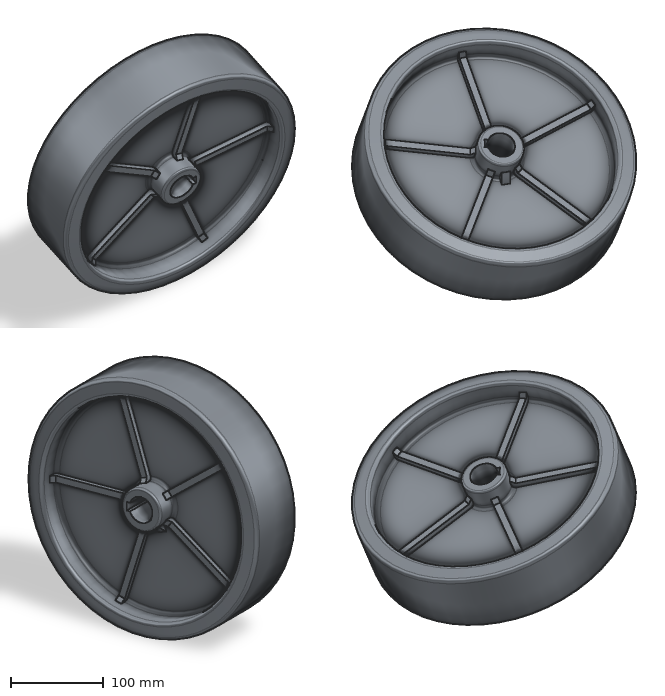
import cadquery as cq
import math

wheel_diameter = 300.0
wheel_width = 80.0
tread_edge_radius = 4.5

rim_inner_diameter = 258.0
rim_face_slope = 8.0
rim_lip_radius = 4.0
rim_root_radius = 4.8
web_thickness = 27.0

hub_diameter = 51.0
hub_edge_radius = 2.5
hub_root_radius = 4.5
bore_diameter = 30.0
keyway_width = 10.0
keyway_reach = 18.5

rib_count = 5
rib_width = 8.0
rib_height = 6.5
rib_bevel = 4.8

gusset_width = 10.0
gusset_length = 8.7
gusset_height = 11.0

overlap = 3.0

wheel_radius = wheel_diameter / 2
rim_inner_radius = rim_inner_diameter / 2
hub_radius = hub_diameter / 2
half_width = wheel_width / 2
half_web = web_thickness / 2
rib_pitch = 360 / rib_count
gusset_angle = 180 + rib_pitch


def rounded_outline(corners):
    """Closed wire in the XY plane through (x, y, radius) corners, each rounded by its radius."""
    outline = None
    for index, (x, y, radius) in enumerate(corners):
        corner = cq.Vector(x, y)
        before = corners[index - 1]
        after = corners[(index + 1) % len(corners)]
        to_before = (cq.Vector(before[0], before[1]) - corner).normalized()
        to_after = (cq.Vector(after[0], after[1]) - corner).normalized()
        half_angle = to_before.getAngle(to_after) / 2
        setback = radius / math.tan(half_angle)
        start = corner + to_before * setback
        if outline is None:
            outline = cq.Workplane("XY").moveTo(start.x, start.y)
        else:
            outline = outline.lineTo(start.x, start.y)
        if radius > 0:
            middle = corner + (to_before + to_after).normalized() * (radius / math.sin(half_angle) - radius)
            end = corner + to_after * setback
            outline = outline.threePointArc((middle.x, middle.y), (end.x, end.y))
    return outline.close()


def make_half_body():
    """Revolve the -X half of the wheel section about the X axis."""
    slope = math.radians(rim_face_slope)
    lip_corner = half_width + rim_lip_radius * (math.tan(slope) + 1 / math.cos(slope) - 1)
    tread_corner = lip_corner - (wheel_radius - rim_inner_radius) * math.tan(slope)
    section = [
        (0, 0, 0),
        (-half_width, 0, 0),
        (-half_width, hub_radius, hub_edge_radius),
        (-half_web, hub_radius, hub_root_radius),
        (-half_web, rim_inner_radius, rim_root_radius),
        (-lip_corner, rim_inner_radius, rim_lip_radius),
        (-tread_corner, wheel_radius, tread_edge_radius),
        (0, wheel_radius, 0),
    ]
    return rounded_outline(section).revolve(360, (0, 0, 0), (1, 0, 0))


def radial_plate(profile, width, angle):
    """Plate with an X-Y profile, centred on the +Y ray and then turned about the X axis."""
    plate = cq.Workplane("XY").polyline(profile).close().extrude(width / 2, both=True)
    return plate.rotate((0, 0, 0), (1, 0, 0), angle)


def make_rib(angle):
    """Rib from hub to rim whose top rises along a bevel at both ends."""
    top = half_web + rib_height
    end_top = top + rib_bevel
    profile = [
        (0, hub_radius - overlap),
        (-end_top, hub_radius - overlap),
        (-end_top, hub_radius),
        (-top, hub_radius + rib_bevel),
        (-top, rim_inner_radius - rib_bevel),
        (-end_top, rim_inner_radius),
        (-end_top, rim_inner_radius + overlap),
        (0, rim_inner_radius + overlap),
    ]
    return radial_plate(profile, rib_width, angle)


def make_gusset():
    """Triangular gusset between the hub and the web."""
    top = half_web + gusset_height
    profile = [
        (0, hub_radius - overlap),
        (-top, hub_radius - overlap),
        (-top, hub_radius),
        (-half_web, hub_radius + gusset_length),
        (0, hub_radius + gusset_length),
    ]
    return radial_plate(profile, gusset_width, gusset_angle)


def make_keyed_bore():
    """Through bore with a keyway on its +Y side."""
    bore = cq.Workplane("YZ").circle(bore_diameter / 2).extrude(wheel_width, both=True)
    keyway = cq.Workplane("YZ").center(keyway_reach / 2, 0).rect(keyway_reach, keyway_width)
    return bore.union(keyway.extrude(wheel_width, both=True))


half_wheel = make_half_body()
for rib_index in range(rib_count):
    half_wheel = half_wheel.union(make_rib(rib_index * rib_pitch))

wheel = half_wheel.union(half_wheel.mirror("YZ")).union(make_gusset())
result = wheel.cut(make_keyed_bore())